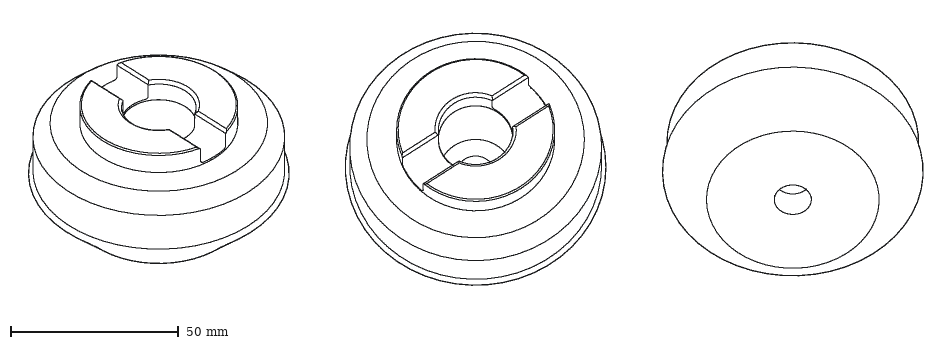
import cadquery as cq
import math

outer_radius = 38.8
wall_radius = 37.5
housing_height = 33.0
shoulder_drop = 5.1
bead_top = 15.0
bead_round = 1.2
base_radius = 25.7

shaft_hole_diameter = 11.0
housing_bore_diameter = 22.0
hub_bore_diameter = 22.2
lead_in_height = 1.2
bore_floor = 10.0

hub_diameter = 47.0
hub_height = 7.0
hub_edge_chamfer = 0.5
hub_bore_chamfer = 1.0
slot_width = 10.55
slot_depth = 6.3
slot_floor_fillet = 1.0
slot_edge_chamfer = 0.9

hub_top = housing_height + hub_height


def make_housing():
    """Revolve the outer profile, then cut the stepped bore."""
    bead_center_radius = outer_radius - bead_round
    bead_center_height = bead_top - bead_round
    diagonal = bead_round * math.sin(math.pi / 4)

    cone_top = bead_center_height - diagonal
    cone_top_radius = bead_center_radius + diagonal

    body = (
        cq.Workplane("XZ")
        .moveTo(0, 0)
        .lineTo(base_radius, 0)
        .lineTo(cone_top_radius, cone_top)
        .threePointArc((outer_radius, bead_center_height), (bead_center_radius, bead_top))
        .lineTo(wall_radius, bead_top)
        .lineTo(wall_radius, housing_height - shoulder_drop)
        .lineTo(wall_radius - shoulder_drop, housing_height)
        .lineTo(0, housing_height)
        .close()
        .revolve(360, (0, 0), (0, 1))
    )
    bore = (
        cq.Workplane("XZ")
        .moveTo(0, 0)
        .lineTo(shaft_hole_diameter / 2, 0)
        .lineTo(shaft_hole_diameter / 2, bore_floor)
        .lineTo(housing_bore_diameter / 2, bore_floor)
        .lineTo(housing_bore_diameter / 2, housing_height - lead_in_height)
        .lineTo(hub_bore_diameter / 2, housing_height)
        .lineTo(0, housing_height)
        .close()
        .revolve(360, (0, 0), (0, 1))
    )
    return body.cut(bore)


def make_slot_cutter():
    """Slot along X with a filleted floor and flared upper edges."""
    channel = (
        cq.Workplane("XY")
        .workplane(offset=hub_top - slot_depth)
        .rect(hub_diameter, slot_width)
        .extrude(slot_depth)
        .edges("|X and <Z")
        .fillet(slot_floor_fillet)
    )
    half_width = slot_width / 2
    flare = (
        cq.Workplane("YZ")
        .polyline([
            (-half_width, hub_top - slot_edge_chamfer),
            (half_width, hub_top - slot_edge_chamfer),
            (half_width + slot_edge_chamfer, hub_top),
            (-half_width - slot_edge_chamfer, hub_top),
        ])
        .close()
        .extrude(hub_diameter / 2, both=True)
    )
    return channel.union(flare)


def make_hub():
    """Ring with chamfered top edges, split above its floor by the slot."""
    ring = (
        cq.Workplane("XY")
        .workplane(offset=housing_height)
        .circle(hub_diameter / 2)
        .extrude(hub_height)
        .faces(">Z")
        .chamfer(hub_edge_chamfer)
        .faces(">Z")
        .workplane()
        .hole(hub_bore_diameter)
    )
    bore_edge = cq.selectors.RadiusNthSelector(0)
    ring = ring.faces(">Z").edges(bore_edge).chamfer(hub_bore_chamfer)
    return ring.cut(make_slot_cutter())


housing = make_housing()
hub = make_hub()

result = cq.Compound.makeCompound([housing.val(), hub.val()])